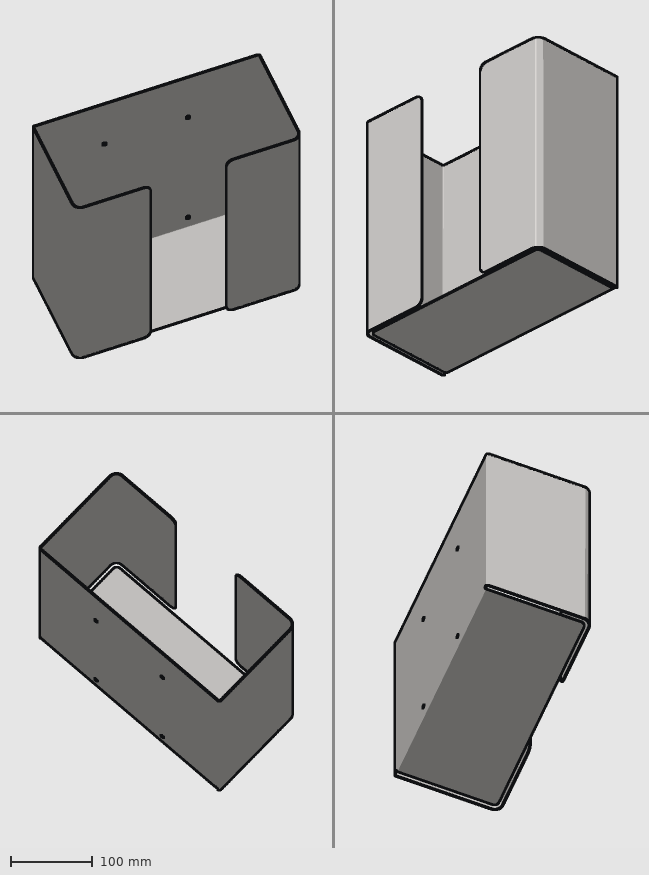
import cadquery as cq

depth = 140.0
width = 300.0
height = 300.0
thickness = 1.5
tight_bend = 3.0
wide_bend = 11.5
front_opening = 100.0
flange_corner = 10.0
floor_side_gap = 7.0
floor_front_gap = 6.3
floor_corner = 6.0
hole_diameter = 5.0
hole_spacing = 110.0
hole_heights = (-130.0, 70.0)

back_x = -depth / 2
front_x = depth / 2
bottom_z = -height / 2
floor_width = width - 2 * floor_side_gap


def rounded_prism(inset):
    """Upright block of the wrapper's outline, moved inward by inset."""
    block = cq.Workplane("XY").box(depth - 2 * inset, width - 2 * inset, height)
    block = block.edges("|Z and <X").fillet(tight_bend - inset)
    return block.edges("|Z and >X").fillet(wide_bend - inset)


def make_wrapper():
    """Back, side walls and front flanges bent from one sheet."""
    wrapper = rounded_prism(0).cut(rounded_prism(thickness))
    opening = cq.Workplane("XY").box(front_x, front_opening, height)
    opening = opening.translate((front_x / 2, 0, 0))
    wrapper = wrapper.cut(opening)
    flange_ends = cq.selectors.BoxSelector(
        (front_x - 2 * thickness, -front_opening, -height),
        (front_x + thickness, front_opening, height),
    )
    return wrapper.edges("|X").edges(flange_ends).fillet(flange_corner)


def make_floor():
    """Floor and its bend, joining the back panel at its lower edge."""
    def bent_block(inset):
        block = cq.Workplane("XY").box(depth, floor_width, height)
        block = block.translate((inset, 0, inset))
        return block.edges("|Y and <X and <Z").fillet(tight_bend - inset)

    sheet = bent_block(0).cut(bent_block(thickness))
    keep = (
        cq.Workplane("XY", origin=(-floor_front_gap / 2, 0, bottom_z))
        .rect(depth - floor_front_gap, floor_width)
        .extrude(tight_bend)
        .edges("|Z and >X")
        .fillet(floor_corner)
    )
    return sheet.intersect(keep)


def make_bend_clearance():
    """Strip removed from the back panel for the floor bend and its end reliefs."""
    strip_width = width - 2 * tight_bend
    strip = cq.Workplane("XY").box(tight_bend, strip_width, tight_bend, centered=(False, True, False))
    return strip.translate((back_x, 0, bottom_z))


def make_holes():
    """Four round mounting holes through the back panel."""
    points = [(side * hole_spacing / 2, z) for side in (-1, 1) for z in hole_heights]
    return (
        cq.Workplane("YZ", origin=(back_x, 0, 0))
        .pushPoints(points)
        .circle(hole_diameter / 2)
        .extrude(thickness)
    )


result = make_wrapper().cut(make_bend_clearance()).union(make_floor()).cut(make_holes())